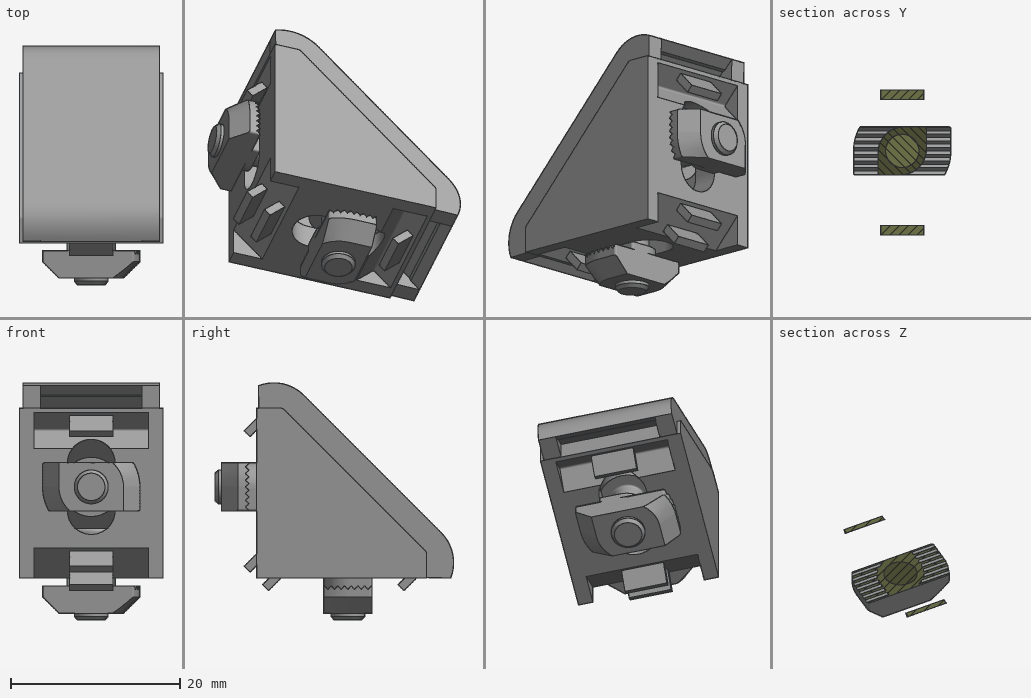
import cadquery as cq
import math


bracket_width = 17.0
leg_length = 20.1
plate_thickness = 3.1
slope_sum = 23.18
slope_corner_radius = 0.6
cavity_width = 13.5

notch_pitch = 16.0
corner_cut = 3.59
notch_height = 4.25
notch_root_radius = 0.24
tab_width = 5.08
tab_lower_offset = 1.47
tab_upper_offset = 2.88
tab_tip_sum = -0.05
tab_embed = 0.28

bolt_position = 10.78
slot_width = 5.65
slot_length = 11.24

shank_diameter = 4.0
tip_diameter = 3.25
tip_chamfer_length = 0.42
tip_depth = 4.95
head_diameter = 7.0
head_height = 2.77
head_edge_radius = 0.42
underhead_radius = 0.23

nut_length = 11.52
nut_width = 5.73
nut_bottom_length = 7.62
shoulder_depth = 0.9
nut_depth = 4.15
nut_edge_radius = 0.28
neck_round_radius = 3.1
serration_pitch = 0.8
serration_depth = 0.42
serration_steps = 3

cap_width = 16.15
cap_wall = 2.1
cap_offset = 0.2
cap_arc_radius = 5.0
cap_arc_near = 1.83
cap_arc_far = 18.1
cap_end_draft = 0.05
cap_lip_length = 1.1
cap_ledge_drop = 0.17


def prism(points, width):
    """Extrude a (y, z) outline along X, centred on x = 0."""
    return cq.Workplane("YZ").polyline(points).close().extrude(width / 2, both=True)


def swap_plates(body):
    """Mirror across the plane y = z, from the upright plate to the lower one."""
    return body.mirror(cq.Vector(0, -1, 1))


def point_from_diagonals(total, difference):
    """The (y, z) point with the given y + z and z - y."""
    return ((total - difference) / 2, (total + difference) / 2)


def make_bracket_block():
    slope_end = slope_sum - leg_length
    outline = [(0, 0), (leg_length, 0), (leg_length, slope_end), (slope_end, leg_length), (0, leg_length)]
    block = prism(outline, bracket_width)
    slope_edges = block.faces(">(0, 1, 1)").edges("|X")
    return slope_edges.fillet(slope_corner_radius)


def make_cavity():
    far = slope_sum - plate_thickness
    outline = [(plate_thickness, plate_thickness), (far, plate_thickness), (far, far), (plate_thickness, far)]
    return prism(outline, cavity_width)


def make_notch():
    """V-shaped notch across the upright plate, near its end."""
    top = corner_cut + notch_pitch
    bottom = top - notch_height
    root = (notch_height / 2, (top + bottom) / 2)
    mirror_root = (-root[0], root[1])
    notch = prism([mirror_root, (0, bottom), root, (0, top)], cavity_width)
    return notch.edges(">Y").fillet(notch_root_radius)


def make_slot():
    return (
        cq.Workplane("XZ", origin=(0, 0, bolt_position))
        .slot2D(slot_length, slot_width, 90)
        .extrude(-plate_thickness)
    )


def make_tab(shift):
    """Sloping tab of the upright plate, moved by shift along Z from the corner."""
    root_sum = corner_cut + tab_embed
    outline = [
        point_from_diagonals(root_sum, tab_lower_offset),
        point_from_diagonals(root_sum, tab_upper_offset),
        point_from_diagonals(tab_tip_sum, tab_upper_offset),
        point_from_diagonals(tab_tip_sum, tab_lower_offset),
    ]
    return prism(outline, tab_width).translate((0, 0, shift))


def make_bracket(block):
    corner = prism([(0, 0), (corner_cut, 0), (0, corner_cut)], cavity_width)
    bracket = block.cut(make_cavity()).cut(corner)
    for opening in (make_notch(), make_slot()):
        bracket = bracket.cut(opening).cut(swap_plates(opening))
    for shift in (0, notch_pitch):
        tab = make_tab(shift)
        bracket = bracket.union(tab).union(swap_plates(tab))
    return bracket


def make_cap(block):
    """Cap over the slope; its outline is symmetric about the diagonal before it is moved along Y."""
    end_height = cap_arc_far + math.sqrt(cap_arc_radius**2 - cap_arc_near**2)
    tangent = cap_arc_radius * math.sqrt(0.5)
    arc_near_tangent = cap_arc_near + tangent
    arc_far_tangent = cap_arc_far + tangent
    foot = leg_length - cap_offset
    outer = (
        cq.Workplane("YZ")
        .moveTo(cap_end_draft, foot)
        .lineTo(0, end_height)
        .threePointArc((cap_arc_near, cap_arc_far + cap_arc_radius), (arc_near_tangent, arc_far_tangent))
        .lineTo(arc_far_tangent, arc_near_tangent)
        .threePointArc((cap_arc_far + cap_arc_radius, cap_arc_near), (end_height, 0))
        .lineTo(foot, cap_end_draft)
        .close()
        .extrude(cap_width / 2, both=True)
    )
    lip_height = end_height - cap_lip_length
    ledge_height = lip_height - cap_ledge_drop
    ledge_depth = slope_sum - cap_offset - ledge_height
    half = [(0, end_height), (cap_lip_length, lip_height), (ledge_depth, ledge_height)]
    mirrored_half = [(z, y) for y, z in reversed(half)]
    recess = prism([(0, 0)] + half + mirrored_half, cap_width - 2 * cap_wall)
    return outer.cut(recess).translate((0, cap_offset, 0)).cut(block)


def make_bolt():
    """Bolt pointing along -Z, with z = 0 on the outer face of its plate."""
    shank_radius = shank_diameter / 2
    head_radius = head_diameter / 2
    head_top = plate_thickness + head_height
    bolt = (
        cq.Workplane("XZ")
        .moveTo(0, -tip_depth)
        .lineTo(tip_diameter / 2, -tip_depth)
        .lineTo(shank_radius, -tip_depth + tip_chamfer_length)
        .lineTo(shank_radius, plate_thickness - underhead_radius)
        .radiusArc((shank_radius + underhead_radius, plate_thickness), underhead_radius)
        .lineTo(head_radius, plate_thickness)
        .lineTo(head_radius, head_top)
        .lineTo(0, head_top)
        .close()
        .revolve(360, (0, 0, 0), (0, 1, 0))
    )
    return bolt.faces(">Z").edges().fillet(head_edge_radius)


def make_nut_body():
    """Tapered bar with two opposite corners turned round, so that it can twist in a profile slot."""
    half_length = nut_length / 2
    bottom_half = nut_bottom_length / 2
    taper_start = -nut_depth + half_length - bottom_half
    right_side = [(half_length, -shoulder_depth), (half_length, taper_start), (bottom_half, -nut_depth)]
    left_side = [(-x, z) for x, z in reversed(right_side)]
    bar = cq.Workplane("XZ").polyline(right_side + left_side).close().extrude(nut_width / 2, both=True)
    turned = (
        cq.Workplane("XZ")
        .polyline([(0, -shoulder_depth)] + right_side + [(0, -nut_depth)])
        .close()
        .revolve(360, (0, 0, 0), (0, 1, 0))
    )
    envelope = turned
    for side in (-1, 1):
        square_corner = (
            cq.Workplane("XY")
            .center(side * half_length / 2, side * nut_width / 4)
            .rect(half_length, nut_width / 2)
            .extrude(-nut_depth)
        )
        envelope = envelope.union(square_corner)
    return bar.intersect(envelope).edges("|Z").fillet(nut_edge_radius)


def make_serrations():
    """V grooves along X that leave the shoulder of the nut toothed."""
    half_pitch = serration_pitch / 2
    bottom = -shoulder_depth - serration_depth
    grooves = cq.Workplane("YZ")
    for step in range(-serration_steps, serration_steps + 1):
        y = step * serration_pitch
        outline = [(y - half_pitch, -shoulder_depth), (y, bottom), (y + half_pitch, -shoulder_depth)]
        grooves = grooves.add(prism(outline, nut_length))
    return grooves.combine()


def make_neck():
    neck_length = shoulder_depth + serration_depth
    neck = cq.Workplane("XY").rect(nut_width, nut_width).extrude(-neck_length)
    neck = neck.edges("|Z and (>(1, 1, 0) or <(1, 1, 0))").fillet(nut_edge_radius)
    return neck.edges("|Z and (>(1, -1, 0) or <(1, -1, 0))").fillet(neck_round_radius)


def make_nut():
    """Hammer nut below z = 0, with its neck against the outer face of the plate."""
    bore = cq.Workplane("XY").circle(shank_diameter / 2).extrude(-nut_depth)
    return make_nut_body().cut(make_serrations()).union(make_neck()).cut(bore)


def place_on_plates(body):
    """One copy under the lower plate and one turned onto the upright plate."""
    lower = body.translate((0, bolt_position, 0))
    upright = body.rotate((0, 0, 0), (1, 0, 0), -90).translate((0, 0, bolt_position))
    return [lower, upright]


bracket_block = make_bracket_block()
bracket = make_bracket(bracket_block)
cap = make_cap(bracket_block)
bolts = place_on_plates(make_bolt())
nuts = place_on_plates(make_nut())

result = cq.Compound.makeCompound([body.val() for body in [bracket, cap, *bolts, *nuts]])